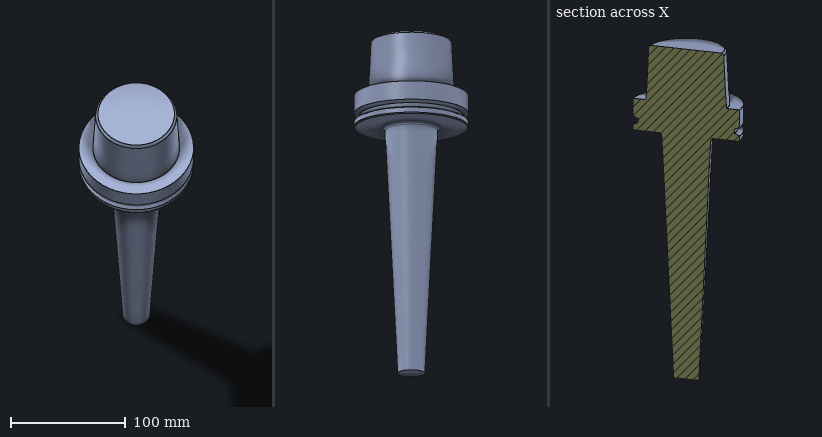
import cadquery as cq

total_length = 300.0
shank_length = 49.8
flange_height = 29.0
flange_top = total_length - shank_length
flange_bottom = flange_top - flange_height

shank_base_radius = 37.8
shank_top_radius = 35.5
shank_edge_width = 2.0
shank_edge_height = 2.0

flange_radius = 50.0
flange_edge_chamfer = 1.0
groove_middle = flange_top - 20.0
groove_mouth_width = 7.2
groove_floor_width = 3.5
groove_depth = 4.8
groove_floor_radius = flange_radius - groove_depth

arbor_top_radius = 23.0
arbor_tip_radius = 12.0
neck_fillet = 2.7


def make_shank():
    """Truncated cone with a bevelled upper rim."""
    bevel_start = total_length - shank_edge_height
    return (
        cq.Workplane("XZ")
        .moveTo(0, flange_top)
        .lineTo(shank_base_radius, flange_top)
        .lineTo(shank_top_radius, bevel_start)
        .lineTo(shank_top_radius - shank_edge_width, total_length)
        .lineTo(0, total_length)
        .close()
        .revolve(360, (0, 0, 0), (0, 1, 0))
    )


def make_flange():
    """Disc with a chamfered lower edge and a gripper groove around it."""
    disc = (
        cq.Workplane("XY", origin=(0, 0, flange_bottom))
        .circle(flange_radius)
        .extrude(flange_height)
        .faces("<Z")
        .chamfer(flange_edge_chamfer)
    )
    groove = (
        cq.Workplane("XZ")
        .moveTo(flange_radius, groove_middle - groove_mouth_width / 2)
        .lineTo(groove_floor_radius, groove_middle - groove_floor_width / 2)
        .lineTo(groove_floor_radius, groove_middle + groove_floor_width / 2)
        .lineTo(flange_radius, groove_middle + groove_mouth_width / 2)
        .close()
        .revolve(360, (0, 0, 0), (0, 1, 0))
    )
    return disc.cut(groove)


def make_arbor():
    """Long cone that flares into the flange through a concave fillet."""
    fillet_end = flange_bottom - neck_fillet
    return (
        cq.Workplane("XZ")
        .lineTo(arbor_tip_radius, 0)
        .lineTo(arbor_top_radius, fillet_end)
        .radiusArc((arbor_top_radius + neck_fillet, flange_bottom), neck_fillet)
        .lineTo(0, flange_bottom)
        .close()
        .revolve(360, (0, 0, 0), (0, 1, 0))
    )


result = make_flange().union(make_shank()).union(make_arbor())